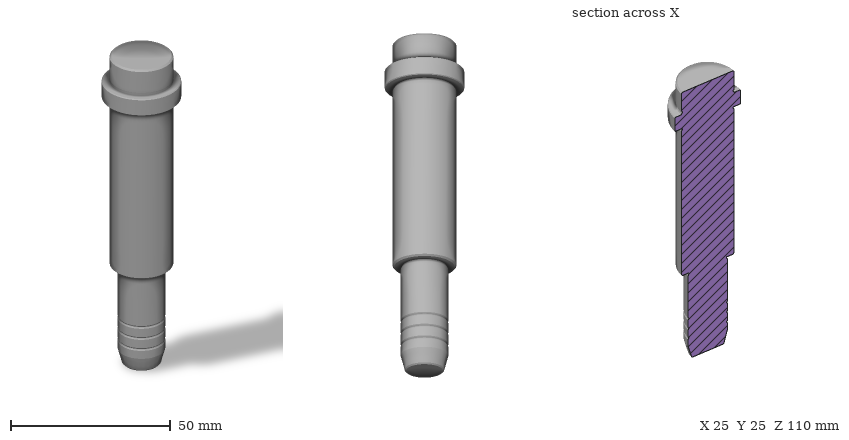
import cadquery as cq
import math

total_length = 110.0
head_bottom = 102.0
flange_top = 101.0
flange_bottom = 95.0
body_top = 94.0
body_bottom = 35.0
pin_top = 34.0
taper_height = 5.2

flange_radius = 25.0 / 2
body_radius = 20.0 / 2
pin_radius = 15.0 / 2

body_chamfer = 0.5
flange_chamfer = 0.28
tip_chamfer = 0.4
body_neck_depth = 0.5
pin_neck_depth = 0.4
taper_angle = math.radians(15)

groove_count = 3
groove_pitch = 4.0
groove_width = 1.0
groove_depth = 0.3
lowest_groove_bottom = 8.0


def revolved(profile):
    """Full turn about Z of a closed (radius, height) outline."""
    return cq.Workplane("XZ").polyline(profile).close().revolve(360, (0, 0), (0, 1))


def make_shaft():
    """Solid stepped shaft with conical reliefs at each shoulder."""
    neck_radius = body_radius - body_neck_depth
    tip_radius = pin_radius - taper_height * math.tan(taper_angle)
    rim_radius = tip_radius + tip_chamfer * math.tan(taper_angle)

    pin = [
        (0, 0),
        (rim_radius - tip_chamfer, 0),
        (rim_radius, tip_chamfer),
        (pin_radius, taper_height),
        (pin_radius, pin_top),
        (pin_radius - pin_neck_depth, body_bottom),
    ]
    body = [
        (body_radius - body_chamfer, body_bottom),
        (body_radius, body_bottom + body_chamfer),
        (body_radius, body_top),
        (neck_radius, flange_bottom),
    ]
    flange = [
        (flange_radius - flange_chamfer, flange_bottom),
        (flange_radius, flange_bottom + flange_chamfer),
        (flange_radius, flange_top - flange_chamfer),
        (flange_radius - flange_chamfer, flange_top),
    ]
    head = [
        (body_radius, flange_top),
        (neck_radius, head_bottom),
        (body_radius, head_bottom),
        (body_radius, total_length - body_chamfer),
        (body_radius - body_chamfer, total_length),
        (0, total_length),
    ]
    return revolved(pin + body + flange + head)


def make_groove(bottom):
    """Ring cutter with a V section, its point facing the axis."""
    overshoot = groove_depth
    flare = overshoot * groove_width / (2 * groove_depth)
    outer_radius = pin_radius + overshoot
    return revolved([
        (pin_radius - groove_depth, bottom + groove_width / 2),
        (outer_radius, bottom - flare),
        (outer_radius, bottom + groove_width + flare),
    ])


result = make_shaft()
for index in range(groove_count):
    result = result.cut(make_groove(lowest_groove_bottom + index * groove_pitch))